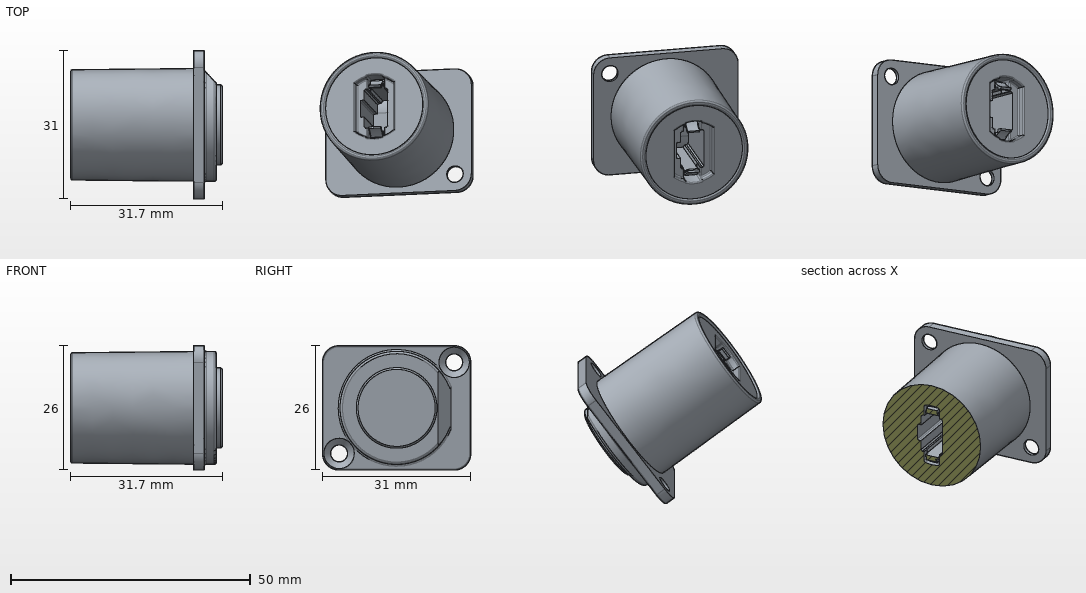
import cadquery as cq
import math

flange_front = 25.65
flange_back = 27.9
flange_width = 31.0
flange_height = 26.0
flange_corner = 3.48
flange_edge_round = 0.25
screw_hole_diameter = 3.48
screw_hole_y = 12.0
screw_hole_z = 9.5
countersink_diameter = 6.33
countersink_angle = 90

barrel_end_radius = 11.53
barrel_root_radius = 11.78
rim_round = 0.38
face_x = 0.4
face_radius = 10.35

ring_back = 30.4
ring_radius = 11.8
ring_edge_round = 0.5
ring_root_round = 0.38
flat_root_y = 11.37
flat_back_y = 8.65
boss_back = 31.67
boss_radius = 8.42
boss_chamfer = 0.38

socket_radius = 6.55
socket_half_width = 4.12
socket_floor = 2.12
socket_round = 0.25

bore_half_width = 2.5
bore_half_height = 4.18
bore_chamfer = 0.32
key_y = 3.33
key_half_height = 1.8
key_corner = 0.25

bore_end_x = 15.85
bore_end_flat_half = 2.03
bore_end_radius = 4.75

slot_radius = 6.78
slot_half_width = 1.77
slot_inner_z = 3.8
slot_floor = 5.07
slot_corner = 0.38
latch_half_width = 1.27
latch_tip = (0.63, 4.62)
latch_hook_front = (0.95, 4.2)
latch_hook_back = (1.75, 4.2)
latch_neck = (2.05, 4.8)
latch_bend = (2.05, 5.2)
latch_back = (3.0, 6.02)
shoulder_x = 2.85
shoulder_half_width = 1.52
shoulder_z = 5.32


def disc(radius, start, end):
    """Cylinder on the X axis between two X positions."""
    return cq.Workplane("YZ").workplane(offset=start).circle(radius).extrude(end - start)


def block(x_range, y_range, z_range):
    """Box between the given limits on each axis."""
    corner = (x_range[0], y_range[0], z_range[0])
    size = [limits[1] - limits[0] for limits in (x_range, y_range, z_range)]
    return cq.Workplane("XY").box(*size, centered=False).translate(corner)


def with_mirror(upper):
    """The given upper feature together with its mirror image below z = 0."""
    return upper.union(upper.mirror("XY"))


def barrel():
    cone = (
        cq.Workplane("YZ").circle(barrel_end_radius)
        .workplane(offset=flange_front).circle(barrel_root_radius)
        .loft(ruled=True)
    )
    cupped = cone.cut(disc(face_radius, 0, face_x))
    return cupped.faces("<X").edges().fillet(rim_round)


def flange():
    plate = (
        cq.Workplane("YZ").workplane(offset=flange_front)
        .rect(flange_width, flange_height).extrude(flange_back - flange_front)
        .edges("|X").fillet(flange_corner)
    )
    rounded = plate.faces(">X").edges().fillet(flange_edge_round)
    return (
        rounded.faces(">X").workplane(origin=(0, 0, 0))
        .pushPoints([(screw_hole_y, screw_hole_z), (-screw_hole_y, -screw_hole_z)])
        .cskHole(screw_hole_diameter, countersink_diameter, countersink_angle)
    )


def ring():
    full_ring = (
        cq.Workplane("XY")
        .moveTo(flange_back, 0)
        .lineTo(flange_back, ring_radius + ring_root_round)
        .radiusArc((flange_back + ring_root_round, ring_radius), -ring_root_round)
        .lineTo(ring_back - ring_edge_round, ring_radius)
        .radiusArc((ring_back, ring_radius - ring_edge_round), ring_edge_round)
        .lineTo(ring_back, 0)
        .close().revolve(360, (0, 0, 0), (1, 0, 0))
    )
    beyond_flat = (
        cq.Workplane("XY")
        .polyline([
            (flange_back, flat_root_y),
            (ring_back, flat_back_y),
            (ring_back, flange_width / 2),
            (flange_back, flange_width / 2),
        ])
        .close().extrude(flange_height / 2, both=True)
    )
    return full_ring.cut(beyond_flat)


def boss():
    return disc(boss_radius, ring_back, boss_back).faces(">X").chamfer(boss_chamfer)


def socket():
    clip = block(
        (face_x, socket_floor),
        (-socket_half_width, socket_half_width),
        (-socket_radius, socket_radius),
    )
    recess = disc(socket_radius, face_x, socket_floor).intersect(clip)
    return recess.faces(">X").edges().fillet(socket_round)


def latch_slots():
    clip = block(
        (face_x, slot_floor),
        (-slot_half_width, slot_half_width),
        (slot_inner_z, slot_radius),
    )
    slot = disc(slot_radius, face_x, slot_floor).intersect(clip)
    return with_mirror(slot.edges("|X").edges(">Z").fillet(slot_corner))


def bore():
    depth = (socket_floor, bore_end_x + bore_end_radius)
    main = block(depth, (-bore_half_width, bore_half_width), (-bore_half_height, bore_half_height))
    key = block(depth, (0, key_y), (-key_half_height, key_half_height))
    rounded_key = key.edges("|X and >Y").fillet(key_corner)
    throat = (
        cq.Workplane("YZ").workplane(offset=socket_floor)
        .polyline([
            (-slot_half_width, 0),
            (-slot_half_width, bore_half_height),
            (-shoulder_half_width, latch_neck[1]),
            (shoulder_half_width, latch_neck[1]),
            (slot_half_width, bore_half_height),
            (slot_half_width, 0),
        ])
        .close().extrude(depth[1] - depth[0])
    )
    beveled_main = main.edges("|X").chamfer(bore_chamfer)
    return beveled_main.union(rounded_key).union(with_mirror(throat)).cut(bore_end())


def bore_end():
    """Solid that closes the bore, shaped in the XZ plane."""
    half_height = latch_neck[1]
    fall = half_height - bore_end_flat_half
    side_x = bore_end_x + bore_end_radius - math.sqrt(bore_end_radius**2 - fall**2)
    back_x = bore_end_x + bore_end_radius
    return (
        cq.Workplane("XZ")
        .moveTo(back_x, -half_height)
        .lineTo(side_x, -half_height)
        .radiusArc((bore_end_x, -bore_end_flat_half), bore_end_radius)
        .lineTo(bore_end_x, bore_end_flat_half)
        .radiusArc((side_x, half_height), bore_end_radius)
        .lineTo(back_x, half_height)
        .close().extrude(key_y, both=True)
    )


def latches():
    """Spring latches: a hooked arm that rises from a wider shoulder on the slot floor."""
    neck_z = latch_neck[1]
    back_z = latch_back[1]
    arm = (
        cq.Workplane("XZ")
        .moveTo(*latch_tip)
        .lineTo(*latch_hook_front)
        .lineTo(*latch_hook_back)
        .lineTo(*latch_neck)
        .lineTo(slot_floor, neck_z)
        .lineTo(slot_floor, back_z)
        .lineTo(*latch_back)
        .threePointArc(latch_bend, latch_tip)
        .close().extrude(latch_half_width, both=True)
    )
    shoulder = block(
        (shoulder_x, slot_floor),
        (-shoulder_half_width, shoulder_half_width),
        (neck_z, shoulder_z),
    )
    return with_mirror(arm.union(shoulder))


def round_mouth(body):
    """Round the outline of the socket and slots on the barrel's recessed end face."""
    end_face = body.faces("|X").faces(">X[1]").val()
    mouth = end_face.innerWires()[0]
    return body.newObject(mouth.Edges()).fillet(socket_round)


def round_slot_sides(body):
    """Round the straight slot edges where they meet the socket floor."""
    margin = 0.03
    near_floor = cq.selectors.BoxSelector(
        (socket_floor - margin, -slot_half_width - margin, -socket_radius),
        (socket_floor + margin, slot_half_width + margin, socket_radius),
    )
    return body.edges("|Z").edges(near_floor).fillet(socket_round)


shell = barrel().union(flange()).union(ring()).union(boss())
opened = round_mouth(shell.cut(socket()).cut(latch_slots()))
result = round_slot_sides(opened).cut(bore()).union(latches())